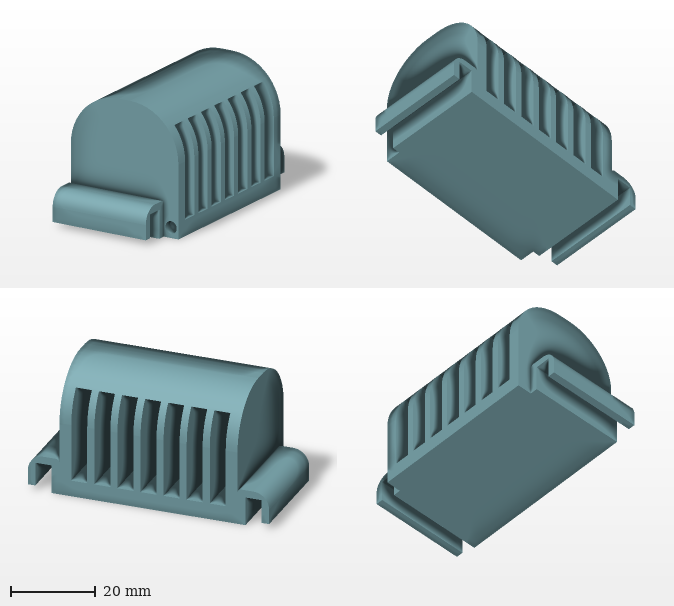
import cadquery as cq

body_width = 30.0
body_length = 45.0
body_height = 32.0
crown_radius = 13.5

slot_count = 7
slot_width = 4.0
end_wall = 3.0
slot_floor = 4.1
slot_top = 27.0
slot_pitch = (body_length - 2 * end_wall - slot_width) / (slot_count - 1)

overall_length = 61.0
clip_width = 26.0
clip_top = 9.1
clip_thickness = 1.9
clip_gap = 4.1
leg_bottom = 1.3
clip_outer_radius = 4.0
clip_root_radius = 1.0

hole_diameter = 3.1
hole_depth = 2.0
hole_x = (clip_width + body_width) / 2
hole_z = 2.6


def make_body():
    block = cq.Workplane("XY").box(
        body_width, body_length, body_height, centered=(False, True, False)
    )
    return block.edges("|Y and >Z").fillet(crown_radius)


def make_clip():
    """Hook at the +Y end, with its convex root edge against the body wall."""
    wall = body_length / 2
    outer = overall_length / 2
    leg_inner = outer - clip_thickness
    foot_outer = leg_inner - clip_gap
    underside = clip_top - clip_thickness
    root_bottom = clip_top - clip_root_radius
    profile = (
        cq.Workplane("YZ")
        .moveTo(0, 0)
        .lineTo(foot_outer, 0)
        .lineTo(foot_outer, underside)
        .lineTo(leg_inner, underside)
        .lineTo(leg_inner, leg_bottom)
        .lineTo(outer, leg_bottom)
        .lineTo(outer, clip_top - clip_outer_radius)
        .radiusArc((outer - clip_outer_radius, clip_top), -clip_outer_radius)
        .lineTo(wall + clip_root_radius, clip_top)
        .radiusArc((wall, root_bottom), -clip_root_radius)
        .lineTo(0, root_bottom)
        .close()
    )
    return profile.extrude(clip_width)


def make_slots():
    slot_height = slot_top - slot_floor
    return (
        cq.Workplane("YZ")
        .center(0, slot_floor + slot_height / 2)
        .rarray(slot_pitch, 0.6, slot_count, 1)
        .rect(slot_width, slot_height)
        .extrude(body_width)
    )


def make_hole():
    return (
        cq.Workplane("XZ", origin=(hole_x, -body_length / 2, hole_z))
        .circle(hole_diameter / 2)
        .extrude(-hole_depth)
    )


back_clip = make_clip()
front_clip = back_clip.mirror("XZ")
result = make_body().union(back_clip).union(front_clip)
result = result.cut(make_slots()).cut(make_hole())